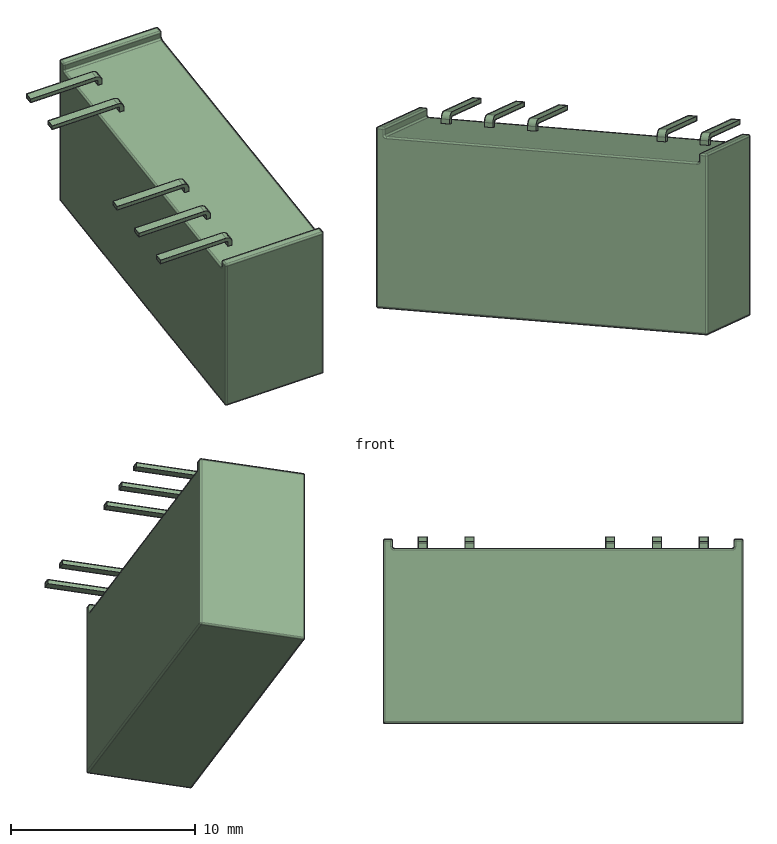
import cadquery as cq

HOUSING_LENGTH = 19.5
HOUSING_DEPTH = 6.0
HOUSING_HEIGHT = 10.0
TROUGH_DEPTH = 0.5
RIM_THICKNESS = 0.5
TROUGH_CORNER_RADIUS = 0.1
EDGE_RADIUS = 0.1

PIN_WIDTH = 0.5
PIN_THICKNESS = 0.25
PIN_BEND_INNER_RADIUS = PIN_THICKNESS / 2
PIN_BEND_OUTER_RADIUS = PIN_BEND_INNER_RADIUS + PIN_THICKNESS
PIN_RISE_ABOVE_RIM = 0.125
PIN_REACH = 3.0
PIN_SETBACK = 1.375
PIN_PITCH = 2.54
PIN_STEPS_FROM_CENTER = (-3, -2, 1, 2, 3)

FRONT_Y = -HOUSING_DEPTH / 2
FLOOR_Z = HOUSING_HEIGHT - TROUGH_DEPTH


def make_housing():
    """Block with rounded edges and an open-ended trough across the top."""
    trough_length = HOUSING_LENGTH - 2 * RIM_THICKNESS
    block = cq.Workplane("XY").box(
        HOUSING_LENGTH, HOUSING_DEPTH, HOUSING_HEIGHT, centered=(True, True, False)
    )
    trough = (
        cq.Workplane("XY", origin=(0, 0, FLOOR_Z))
        .box(trough_length, HOUSING_DEPTH, TROUGH_DEPTH, centered=(True, True, False))
        .edges("<Z and |Y")
        .fillet(TROUGH_CORNER_RADIUS)
    )
    return block.cut(trough).faces("<Y or >Y or <X or >X or >Z").edges().fillet(EDGE_RADIUS)


def make_pin(x):
    """Strip standing on the trough floor, bent through a right angle toward -Y."""
    top_z = HOUSING_HEIGHT + PIN_RISE_ABOVE_RIM
    underside_z = top_z - PIN_THICKNESS
    back_y = FRONT_Y + PIN_SETBACK
    leg_front_y = back_y - PIN_THICKNESS
    bend_y = back_y - PIN_BEND_OUTER_RADIUS
    bend_z = top_z - PIN_BEND_OUTER_RADIUS
    tip_y = FRONT_Y - PIN_REACH
    return (
        cq.Workplane("YZ", origin=(x, 0, 0))
        .moveTo(back_y, FLOOR_Z)
        .lineTo(back_y, bend_z)
        .radiusArc((bend_y, top_z), -PIN_BEND_OUTER_RADIUS)
        .lineTo(tip_y, top_z)
        .lineTo(tip_y, underside_z)
        .lineTo(bend_y, underside_z)
        .radiusArc((leg_front_y, bend_z), PIN_BEND_INNER_RADIUS)
        .lineTo(leg_front_y, FLOOR_Z)
        .close()
        .extrude(PIN_WIDTH / 2, both=True)
    )


housing = make_housing()
pins = [make_pin(step * PIN_PITCH) for step in PIN_STEPS_FROM_CENTER]

result = cq.Compound.makeCompound([housing.val(), *[pin.val() for pin in pins]])